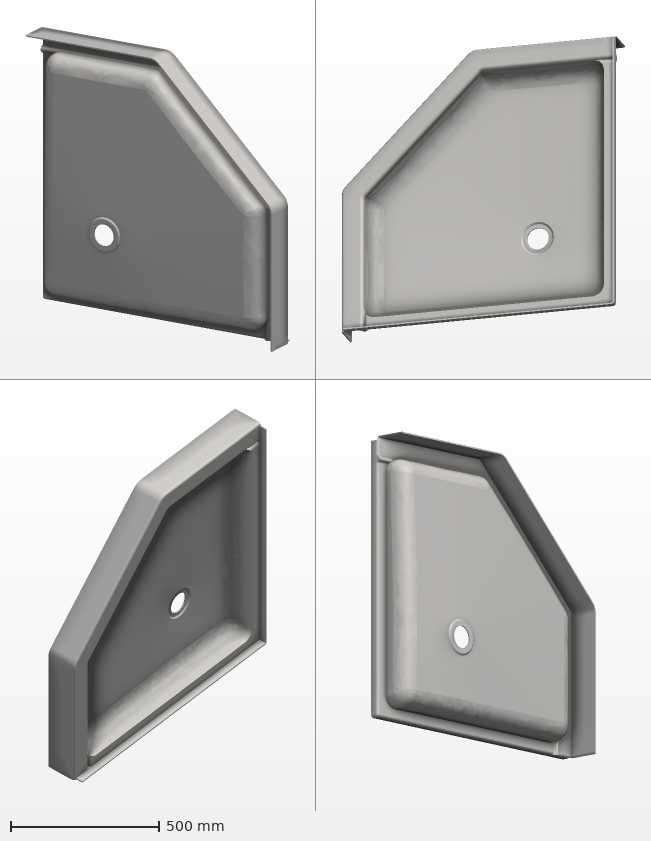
import cadquery as cq
import math


SIDE = 965.14
HEIGHT = 139.7
THICK = 4.76
ENTRY_CORNER = 508.0
ENTRY_CORNER_RADIUS = 50.8

FLANGE_RISE = 25.4
FLANGE_LENGTH = SIDE - 12.7
EDGE_RADIUS = 2 * THICK
EDGE_INNER_RADIUS = EDGE_RADIUS - THICK
DECK_TOP = HEIGHT - FLANGE_RISE
DECK_UNDER = DECK_TOP - THICK

WALL_LEDGE = 38.1
ENTRY_LEDGE = 72.3
BASIN_FLOOR_RADIUS = 57.15
BASIN_CORNER_RADIUS = 46.0
BASIN_ENTRY_RADIUS = 25.4
LIP_RADIUS = 7.1

DRAIN_AT = 305.0
DRAIN_RIM_RADIUS = 62.4
DRAIN_SEAT_RADIUS = 56.6
DRAIN_HOLE_RADIUS = 38.1
FLOOR_LOW = 10.0
FLOOR_SLOPE = 0.037
DRAIN_DEPTH = THICK

GROOVE_AT = SIDE - 79.0
GROOVE_HALF_WIDTH = 13.4
GROOVE_DEPTH = 9.5
GROOVE_LENGTH = WALL_LEDGE + BASIN_CORNER_RADIUS

CLEAR = 10.0


def prism(outline, low, high):
    """Extrude an outline drawn in X and Z from height low to height high."""
    return outline(cq.Workplane("XZ", origin=(0, low, 0))).extrude(low - high)


def box(x, y, z):
    """Box from (start, end) pairs along the three axes."""
    size = (x[1] - x[0], y[1] - y[0], z[1] - z[0])
    return cq.Workplane("XY").box(*size, centered=False).translate((x[0], y[0], z[0]))


def entry_corner(inset):
    """Start of the diagonal once the entry sides are moved inward by inset."""
    return ENTRY_CORNER - inset * math.tan(math.pi / 8)


def pentagon(wall_inset, entry_inset):
    """Footprint with its wall sides and entry sides moved inward."""
    far = SIDE - entry_inset
    start = entry_corner(entry_inset)
    points = [(wall_inset, wall_inset), (far, wall_inset), (far, start), (start, far), (wall_inset, far)]
    return lambda plane: plane.polyline(points).close()


def edges_at(edges, spots):
    """The edges whose middles lie at the given (x, z) spots, whatever their height."""
    def lies_at(edge, spot):
        return math.hypot(edge.Center().x - spot[0], edge.Center().z - spot[1]) < 0.1

    return [e for e in edges if any(lies_at(e, spot) for spot in spots)]


def upright_edges(body, corners):
    """Edges along Y that stand on the given (x, z) corners."""
    return edges_at(body.edges("|Y").vals(), corners)


def entry_corners(inset):
    """The two ends of the diagonal entry side."""
    far = SIDE - inset
    start = entry_corner(inset)
    return [(far, start), (start, far)]


def entry_body(low, top, wall_inset, entry_inset, edge_radius):
    """Pentagon block with rounded diagonal corners and a rounded top along the entry."""
    body = prism(pentagon(wall_inset, entry_inset), low, top)
    corner_radius = ENTRY_CORNER_RADIUS - entry_inset
    body = body.newObject(upright_edges(body, entry_corners(entry_inset))).fillet(corner_radius)
    return body.faces(">Y").edges("not (<X or <Z)").fillet(edge_radius)


def wall_corner_block(inset, low, radius):
    """Block from height low upward, with its edges along the wall sides rounded."""
    far = SIDE + CLEAR
    block = box((inset, far), (low, HEIGHT + CLEAR), (inset, far))
    bottom = block.faces("<Y").edges("<X or <Z").vals()
    return block.newObject(bottom + upright_edges(block, [(inset, inset)])).fillet(radius)


def make_deck(outside):
    """Deck plate with the two wall flanges standing on it."""
    deck = outside.intersect(box((0, SIDE), (DECK_UNDER, DECK_TOP), (0, SIDE)))
    width = EDGE_RADIUS
    for x, z in ((width, FLANGE_LENGTH), (FLANGE_LENGTH, width)):
        deck = deck.union(box((0, x), (DECK_UNDER, HEIGHT), (0, z)))
    deck = deck.intersect(wall_corner_block(0, DECK_UNDER, EDGE_RADIUS))
    return deck.cut(wall_corner_block(THICK, DECK_TOP, EDGE_INNER_RADIUS))


def skirt_end_relief(plane):
    """Circles that round the inner edge of both skirt ends towards the outer face."""
    centre = SIDE - THICK + EDGE_RADIUS
    return plane.pushPoints([(EDGE_RADIUS, centre), (centre, EDGE_RADIUS)]).circle(EDGE_RADIUS)


def make_skirts(outside):
    """Skirts along the three entry sides, open towards the walls."""
    cavity = entry_body(-CLEAR, DECK_UNDER, -CLEAR, THICK, EDGE_INNER_RADIUS)
    rounding = prism(pentagon(-CLEAR, THICK), DECK_UNDER - THICK, DECK_TOP + CLEAR)
    rounding = rounding.cut(wall_corner_block(0, DECK_UNDER, EDGE_RADIUS))
    skirts = outside.cut(cavity).cut(rounding)
    skirt_end = (-1, EDGE_RADIUS)
    skirt_width = (SIDE - THICK, SIDE + 1)
    for x, z in ((skirt_end, skirt_width), (skirt_width, skirt_end)):
        corner = box(x, (-CLEAR, DECK_TOP + CLEAR), z)
        skirts = skirts.cut(corner.cut(prism(skirt_end_relief, -2 * CLEAR, DECK_TOP + 2 * CLEAR)))
    return skirts


def floor_height(radius):
    """Height of the outer floor at a distance from the drain axis."""
    return FLOOR_LOW + FLOOR_SLOPE * (radius - DRAIN_RIM_RADIUS)


def turned(points):
    """Revolve an outline of (radius, height) points about the drain axis."""
    body = cq.Workplane("XY").polyline(points).close().revolve(360, (0, 0, 0), (0, 1, 0))
    return body.translate((DRAIN_AT, 0, DRAIN_AT))


def fillet_each(solid, edge_groups):
    """Fillet groups of edges in one pass, each group with its own radius."""
    maker = cq.occ_impl.shapes.BRepFilletAPI_MakeFillet(solid.wrapped)
    for radius, edges in edge_groups:
        for edge in edges:
            maker.Add(radius, edge.wrapped)
    return cq.Workplane(obj=cq.Shape.cast(maker.Shape()))


def basin_block(inset):
    """Solid filling the basin, inside its outer surface by inset."""
    wall = WALL_LEDGE + inset
    entry = ENTRY_LEDGE + inset
    reach = 2 * SIDE
    above_floor = turned([
        (0, floor_height(0) + inset),
        (reach, floor_height(reach) + inset),
        (reach, HEIGHT),
        (0, HEIGHT),
    ])
    block = prism(pentagon(wall, entry), -CLEAR - reach * FLOOR_SLOPE, DECK_TOP).intersect(above_floor)
    far = SIDE - entry
    square_corners = [(wall, wall), (far, wall), (wall, far)]
    floor_edges = block.faces("%CONE").edges("not %LINE").vals()
    return fillet_each(block.findSolid(), [
        (BASIN_CORNER_RADIUS - inset, upright_edges(block, square_corners)),
        (BASIN_ENTRY_RADIUS - inset, upright_edges(block, entry_corners(entry))),
        (BASIN_FLOOR_RADIUS - inset, floor_edges),
    ])


def lip_block(inset):
    """Flare between the deck and the entry walls of the basin, with the space it encloses."""
    radius = LIP_RADIUS + inset
    level = DECK_UNDER + inset
    entry = ENTRY_LEDGE + inset
    throat = prism(pentagon(GROOVE_LENGTH, entry), level - 2 * radius, level)
    throat = throat.newObject(upright_edges(throat, entry_corners(entry))).fillet(BASIN_ENTRY_RADIUS - inset)
    mouth = prism(pentagon(GROOVE_LENGTH, ENTRY_LEDGE / 2), level, level + THICK)
    flare = throat.union(mouth)
    foot = flare.faces("<Y").edges("not (<X or <Z)").vals()
    at_level = [e for e in flare.edges().vals() if abs(e.Center().y - level) < 0.1]
    neck = edges_at(at_level, [(e.Center().x, e.Center().z) for e in foot])
    flare = flare.newObject(neck).fillet(radius)
    reach = ENTRY_LEDGE - LIP_RADIUS
    limit = prism(pentagon(GROOVE_LENGTH, reach), level - radius, level + THICK)
    limit = limit.newObject(upright_edges(limit, entry_corners(reach))).fillet(BASIN_ENTRY_RADIUS + LIP_RADIUS)
    return flare.intersect(limit)


def groove_profile(plane, inset):
    """Round-bottomed channel section with flared shoulders; inset 0 is the underside."""
    turn = 2 * math.atan(GROOVE_DEPTH / GROOVE_HALF_WIDTH)
    mean_radius = GROOVE_HALF_WIDTH / (2 * math.sin(turn))
    shoulder = mean_radius + inset
    bottom = mean_radius - inset
    level = DECK_UNDER + inset
    bottom_centre = DECK_UNDER - GROOVE_DEPTH + mean_radius
    joint_x = bottom * math.sin(turn)
    joint_y = bottom_centre - bottom * math.cos(turn)
    half_x = GROOVE_HALF_WIDTH - shoulder * math.sin(turn / 2)
    half_y = level - shoulder * (1 - math.cos(turn / 2))
    return (
        cq.Workplane(plane)
        .moveTo(-GROOVE_HALF_WIDTH, level)
        .threePointArc((-half_x, half_y), (-joint_x, joint_y))
        .threePointArc((0, bottom_centre - bottom), (joint_x, joint_y))
        .threePointArc((half_x, half_y), (GROOVE_HALF_WIDTH, level))
        .lineTo(GROOVE_HALF_WIDTH, level + THICK)
        .lineTo(-GROOVE_HALF_WIDTH, level + THICK)
        .close()
    )


def grooves(inset, start):
    """Both channels, from a distance off the wall side to the inside of the basin corner."""
    length = GROOVE_LENGTH - start
    along_x = cq.Plane((start, 0, GROOVE_AT), xDir=(0, 0, 1), normal=(-1, 0, 0))
    along_z = cq.Plane((GROOVE_AT, 0, start), xDir=(1, 0, 0), normal=(0, 0, 1))
    return groove_profile(along_x, inset).extrude(-length).union(groove_profile(along_z, inset).extrude(length))


def drain_block(inset):
    """Tapered step below the floor that seats the drain."""
    bottom = FLOOR_LOW - DRAIN_DEPTH + inset
    top = floor_height(DRAIN_RIM_RADIUS) + inset
    rim = DRAIN_RIM_RADIUS - inset
    seat = DRAIN_SEAT_RADIUS - inset
    return turned([(0, bottom), (seat, bottom), (rim, top), (rim, top + THICK), (0, top + THICK)])


def make_tray():
    """Join the outer bodies, then hollow them and open the drain."""
    outside = entry_body(0, DECK_TOP, 0, 0, EDGE_RADIUS)
    tray = make_deck(outside).union(make_skirts(outside))
    for body in (basin_block(0), lip_block(0), grooves(0, 0), drain_block(0)):
        tray = tray.union(body, clean=False)
    for hollow in (basin_block(THICK), lip_block(THICK), grooves(THICK, EDGE_RADIUS), drain_block(THICK)):
        tray = tray.cut(hollow, clean=False)
    hole = prism(lambda plane: plane.center(DRAIN_AT, DRAIN_AT).circle(DRAIN_HOLE_RADIUS), 0, DECK_TOP)
    return tray.cut(hole, clean=False)


result = make_tray()